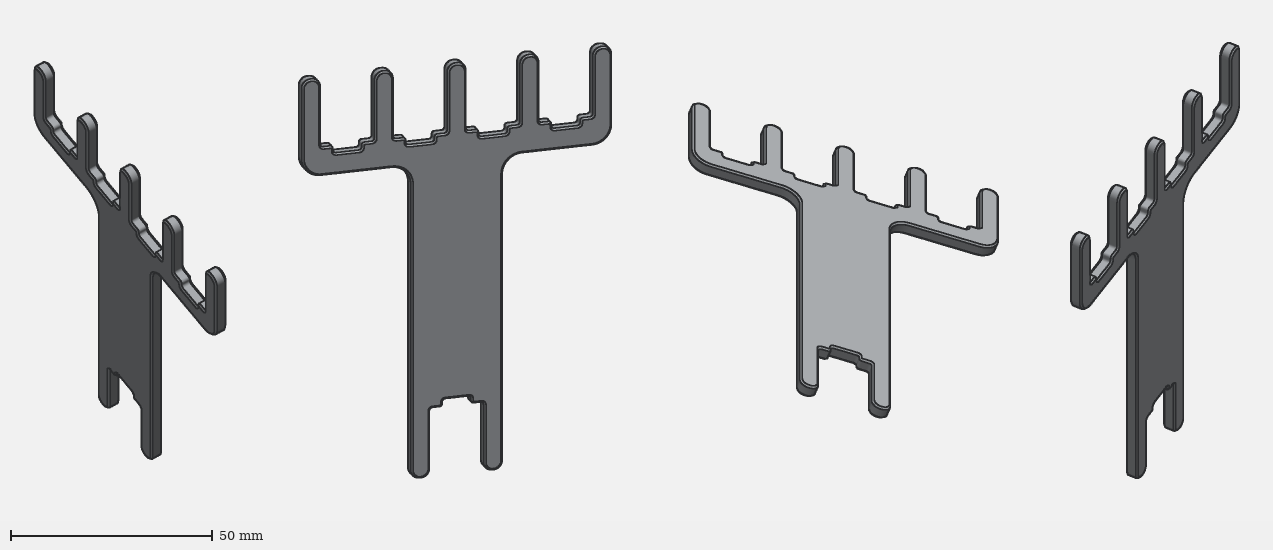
import cadquery as cq

length = 108.9
thickness = 3.4
head_width = 81.0
tine_width = 4.9
tine_count = 5
slot_depth = 18.3
notch_width = 7.5
notch_depth = 2.0
head_depth = 25.8
tip_radius = 2.3
slot_radius = 0.8
shoulder_radius = 5.0
edge_chamfer = 0.5

tine_pitch = (head_width - tine_width) / (tine_count - 1)
handle_width = tine_pitch + tine_width
slot_width = tine_pitch - tine_width
first_slot_x = -(tine_count - 2) * tine_pitch / 2
head_bottom = length - head_depth


def box(width, x, z_low, z_high):
    """Full-thickness block centred on x and on the plane Y = 0."""
    height = z_high - z_low
    return cq.Workplane("XY").box(width, thickness, height).translate((x, 0, z_low + height / 2))


def stepped_slot(x, mouth_z, inward):
    """Slot cutter with a notched floor; inward is the Z direction (+1 or -1) of the cut."""
    def block(width, depth):
        end_z = mouth_z + inward * depth
        return box(width, x, min(mouth_z, end_z), max(mouth_z, end_z))

    cutter = block(slot_width, slot_depth).union(block(notch_width, slot_depth + notch_depth))
    mouth_side = "<Z" if inward > 0 else ">Z"
    return cutter.edges(f"|Y and (not ({mouth_side}))").fillet(slot_radius)


def shoulder_fillet(side):
    """Concave web between the head underside and one side (+1 or -1) of the handle."""
    corner_x = side * handle_width / 2
    return (
        cq.Workplane("XZ", origin=(corner_x, thickness / 2, head_bottom))
        .lineTo(side * shoulder_radius, 0)
        .radiusArc((0, -shoulder_radius), side * -shoulder_radius)
        .close()
        .extrude(thickness)
    )


head = box(head_width, 0, head_bottom, length).edges("|Y and <Z").fillet(shoulder_radius)
blank = head.union(box(handle_width, 0, 0, length))
for side in (-1, 1):
    blank = blank.union(shoulder_fillet(side))

body = blank.cut(stepped_slot(0, 0, 1))
for index in range(tine_count - 1):
    body = body.cut(stepped_slot(first_slot_x + index * tine_pitch, length, -1))

body = body.edges("|Y").edges("<Z or >Z").fillet(tip_radius)
result = body.faces("<Y or >Y").chamfer(edge_chamfer)